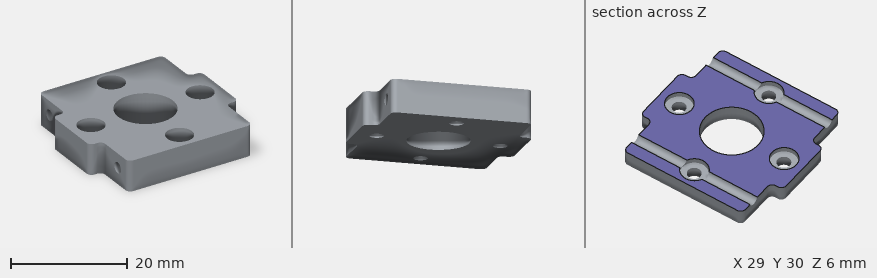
import cadquery as cq

body_x = 29.0
body_y = 25.0
thickness = 6.0
tab_width = 12.0
tab_span_y = 30.0
corner_radius = 1.0

center_bore_diameter = 11.0
screw_offset = 11.0
screw_diameter = 2.55
counterbore_diameter = 5.0
counterbore_depth = 4.0

cross_hole_diameter = 2.1
cross_hole_z = 3.2


def make_plate():
    """Rectangular body with a tab on each Y side, all upright edges rounded."""
    body = cq.Workplane("XY").box(body_x, body_y, thickness, centered=(True, True, False))
    tabs = cq.Workplane("XY").box(tab_width, tab_span_y, thickness, centered=(True, True, False))
    return body.union(tabs).edges("|Z").fillet(corner_radius)


def cut_vertical_bores(plate):
    """Central bore and four counterbored screw holes opening on the top."""
    screw_points = [(screw_offset, 0), (-screw_offset, 0), (0, screw_offset), (0, -screw_offset)]
    top = plate.faces(">Z").workplane(origin=(0, 0, thickness))
    bored = top.circle(center_bore_diameter / 2).cutThruAll()
    top = bored.faces(">Z").workplane(origin=(0, 0, thickness))
    return top.pushPoints(screw_points).cboreHole(screw_diameter, counterbore_diameter, counterbore_depth)


def cut_cross_holes(plate):
    """Two holes running the full Y length through the side screw holes."""
    drills = (
        cq.Workplane("XZ")
        .pushPoints([(-screw_offset, cross_hole_z), (screw_offset, cross_hole_z)])
        .circle(cross_hole_diameter / 2)
        .extrude(tab_span_y / 2, both=True)
    )
    return plate.cut(drills)


result = cut_cross_holes(cut_vertical_bores(make_plate()))